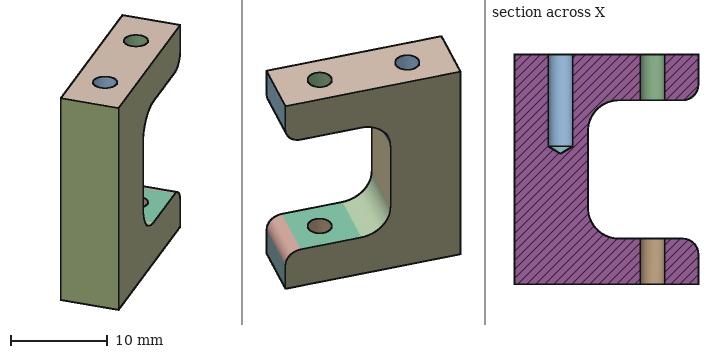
import cadquery as cq
import math

width = 6.35
depth = 19.05
height = 23.8

arm_thickness = 4.76
web_thickness = 7.62
inner_radius = 3.17
lip_radius = 1.67

hole_diameter = 2.5
hole_edge_distance = 4.76
blind_hole_depth = 9.52
drill_point_angle = 118.0


def make_bracket():
    """Block with a rounded slot, centred on the origin in X, Y and Z."""
    slot_height = height - 2 * arm_thickness
    slot_depth = depth - web_thickness
    block = cq.Workplane("XY").box(width, depth, height)
    slot = (
        cq.Workplane("XY")
        .box(width, slot_depth, slot_height)
        .translate((0, (depth - slot_depth) / 2, 0))
        .edges("|X and <Y")
        .fillet(inner_radius)
    )
    lip_edges = cq.selectors.BoxSelector(
        (-width, depth / 2 - lip_radius, -height / 2 + lip_radius),
        (width, depth / 2 + lip_radius, height / 2 - lip_radius),
    )
    return block.cut(slot).edges("|X").edges(lip_edges).fillet(lip_radius)


def make_through_hole():
    """Cylinder that passes through both arms."""
    y = depth / 2 - hole_edge_distance
    return (
        cq.Workplane("XY", origin=(0, y, -height / 2))
        .circle(hole_diameter / 2)
        .extrude(height)
    )


def make_blind_hole():
    """Drilled hole with a conical bottom, entering the web from the top."""
    radius = hole_diameter / 2
    point_length = radius / math.tan(math.radians(drill_point_angle / 2))
    y = hole_edge_distance - depth / 2
    return (
        cq.Workplane("XZ", origin=(0, y, height / 2))
        .lineTo(radius, 0)
        .lineTo(radius, -blind_hole_depth)
        .lineTo(0, -blind_hole_depth - point_length)
        .close()
        .revolve(360, (0, 0), (0, 1))
    )


result = make_bracket().cut(make_through_hole()).cut(make_blind_hole())